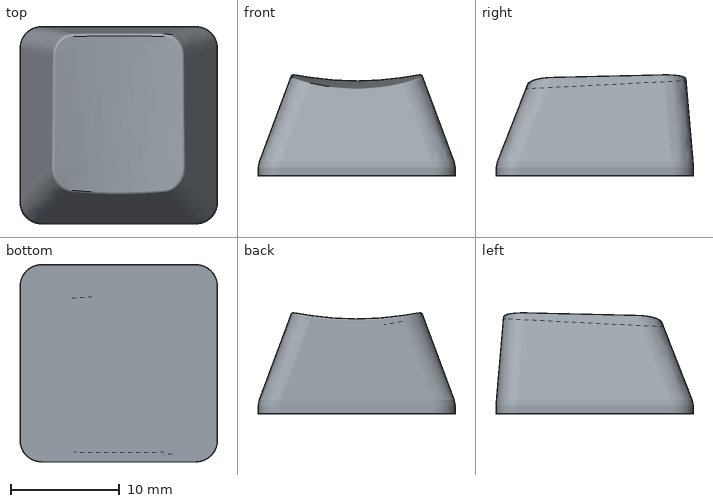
import cadquery as cq

base_size = 18.16
corner_radius = 2.0
skirt_height = 0.73
band_top = 1.27
wall_foot_height = (skirt_height + band_top) / 2

rim_height = 9.45
side_inset = 3.15
front_inset = 3.3
back_inset = 0.73
rim_fillet = 0.22

dish_half_chord = 6.0
dish_front_y = -6.0
dish_front_center_z = 8.03
dish_front_edge_z = 9.05
dish_back_y = 8.35
dish_back_center_z = 8.75
dish_back_edge_z = 9.39
dish_overrun = 3.63
cutter_top = 16.35


def body_section(z):
    """Rounded rectangle where the sloping walls, extended down to their foot, cross height z."""
    share = max(0, (z - wall_foot_height) / (rim_height - wall_foot_height))
    width = base_size - 2 * share * side_inset
    depth = base_size - share * (front_inset + back_inset)
    center_y = share * (front_inset - back_inset) / 2
    sketch = cq.Sketch().rect(width, depth).vertices().fillet(corner_radius)
    return sketch.moved(cq.Location(cq.Vector(0, center_y, z)))


def make_layer(bottom_z, top_z):
    return cq.Workplane("XY").placeSketch(body_section(bottom_z), body_section(top_z)).loft(ruled=True)


def dish_section(y):
    """Closed section above the dish arc at y; heights vary linearly along Y."""
    share = (y - dish_front_y) / (dish_back_y - dish_front_y)
    center_z = dish_front_center_z + share * (dish_back_center_z - dish_front_center_z)
    edge_z = dish_front_edge_z + share * (dish_back_edge_z - dish_front_edge_z)
    rise = edge_z - center_z
    radius = (dish_half_chord**2 + rise**2) / (2 * rise)
    half_width = dish_half_chord + dish_overrun
    end_z = center_z + radius - (radius**2 - half_width**2) ** 0.5
    return (
        cq.Workplane("XZ", origin=(0, y, 0))
        .moveTo(-half_width, end_z)
        .threePointArc((0, center_z), (half_width, end_z))
        .lineTo(half_width, cutter_top)
        .lineTo(-half_width, cutter_top)
        .close()
        .val()
    )


def make_dish_cutter():
    sections = [dish_section(dish_front_y - dish_overrun), dish_section(dish_back_y + dish_overrun)]
    return cq.Workplane(cq.Solid.makeLoft(sections, True))


skirt = cq.Workplane("XY").placeSketch(body_section(0)).extrude(skirt_height)
band = make_layer(skirt_height, band_top)
walls = make_layer(band_top, rim_height)
body = skirt.union(band).union(walls).cut(make_dish_cutter())

dish_face = max(body.faces().vals(), key=lambda face: face.Center().z)
result = body.newObject(dish_face.Edges()).fillet(rim_fillet)